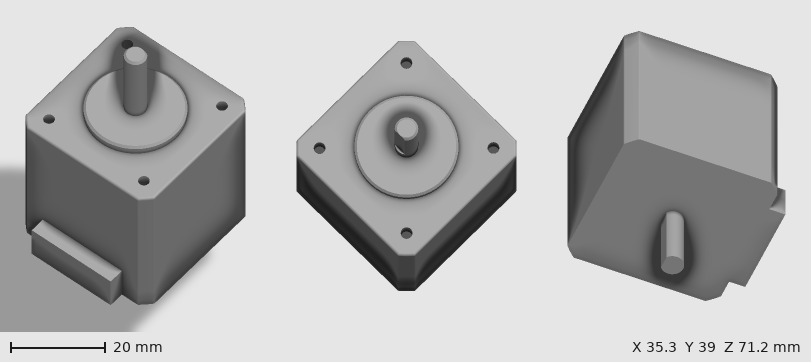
import cadquery as cq


body_side = 35.3
body_height = 36.25
corner_diameter = 46.6
edge_fillet = 0.535

boss_diameter = 22.0
boss_height = 2.0
boss_chamfer = 0.5

shaft_diameter = 5.0
shaft_above_body = 20.0
shaft_below_body = 14.95
shaft_chamfer = 0.5
flat_distance = 2.0
upper_flat_length = 14.9

hole_spacing = 26.0
hole_diameter = 2.5
hole_depth = 4.3

connector_width = 21.65
connector_depth = 3.7
connector_height = 8.1

shaft_top = body_height + shaft_above_body


def make_body():
    """Square block with its corners turned to a cylinder and rounded edges."""
    block = cq.Workplane("XY").rect(body_side, body_side).extrude(body_height)
    turned = cq.Workplane("XY").circle(corner_diameter / 2).extrude(body_height)
    return block.intersect(turned).edges("|Z or >Z").fillet(edge_fillet)


def make_boss():
    boss = cq.Workplane("XY").workplane(offset=body_height).circle(boss_diameter / 2).extrude(boss_height)
    return boss.faces(">Z").chamfer(boss_chamfer)


def make_flat_cutter(bottom, length):
    """Block that removes the shaft material beyond the flat."""
    return (
        cq.Workplane("XY", origin=(0, flat_distance, bottom))
        .box(shaft_diameter, shaft_diameter, length, centered=(True, False, False))
    )


def make_shaft():
    shaft = (
        cq.Workplane("XY", origin=(0, 0, -shaft_below_body))
        .circle(shaft_diameter / 2)
        .extrude(shaft_below_body + shaft_top)
        .faces(">Z")
        .chamfer(shaft_chamfer)
    )
    upper_flat = make_flat_cutter(shaft_top - upper_flat_length, upper_flat_length)
    lower_flat = make_flat_cutter(-shaft_below_body, shaft_below_body)
    return shaft.cut(upper_flat).cut(lower_flat)


def make_connector():
    return (
        cq.Workplane("XY", origin=(0, -body_side / 2, 0))
        .rect(connector_width, 2 * connector_depth)
        .extrude(connector_height)
    )


def make_mounting_holes():
    return (
        cq.Workplane("XY", origin=(0, 0, body_height - hole_depth))
        .rect(hole_spacing, hole_spacing, forConstruction=True)
        .vertices()
        .circle(hole_diameter / 2)
        .extrude(hole_depth)
    )


result = (
    make_body()
    .union(make_boss())
    .union(make_shaft())
    .union(make_connector())
    .cut(make_mounting_holes())
)